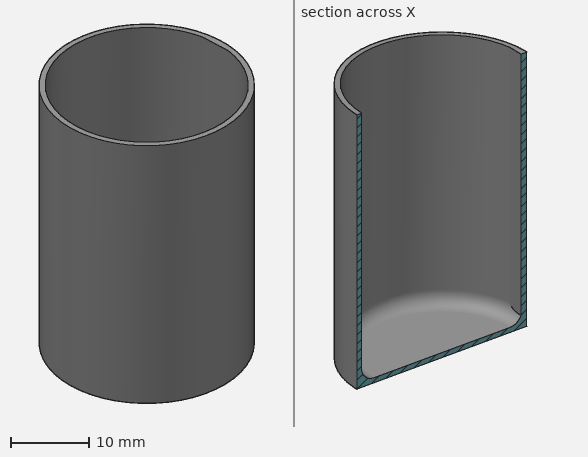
import cadquery as cq

outer_diameter = 27.6
height = 40.0
wall = 0.8
floor_thickness = 0.8
floor_fillet = 2.0
flat_depth = 0.2

bore_diameter = outer_diameter - 2 * wall
cavity_depth = height - floor_thickness
flat_y = bore_diameter / 2 - flat_depth

cavity = (
    cq.Workplane("XY")
    .workplane(offset=floor_thickness)
    .circle(bore_diameter / 2)
    .extrude(cavity_depth)
    .faces("<Z")
    .edges()
    .fillet(floor_fillet)
)

flat_cutter = cq.Workplane("XY").box(
    bore_diameter, bore_diameter, height, centered=(True, False, False)
).translate((0, flat_y, 0))
cavity = cavity.cut(flat_cutter)

result = cq.Workplane("XY").circle(outer_diameter / 2).extrude(height).cut(cavity)